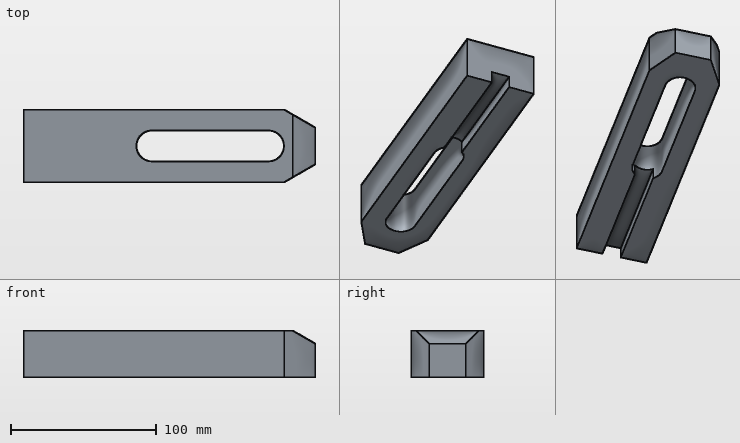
import cadquery as cq
import math

length = 200.0
width = 50.0
height = 32.0

nose_angle = math.radians(30)
taper_length = 21.5
bevel_length = 15.5
taper_depth = taper_length * math.tan(nose_angle)
bevel_depth = bevel_length * math.tan(nose_angle)

slot_width = 21.0
slot_start = 77.5
slot_end = 178.5

groove_width = 13.0
groove_depth = 9.0


def make_body():
    """Bar with both nose sides tapered towards the tip."""
    taper_start = length - taper_length
    tip_half_width = width / 2 - taper_depth
    return (
        cq.Workplane("XY")
        .moveTo(0, -width / 2)
        .lineTo(taper_start, -width / 2)
        .lineTo(length, -tip_half_width)
        .lineTo(length, tip_half_width)
        .lineTo(taper_start, width / 2)
        .lineTo(0, width / 2)
        .close()
        .extrude(height)
    )


def make_top_bevel():
    """Wedge removed from the top edge of the nose."""
    return (
        cq.Workplane("XZ")
        .moveTo(length - bevel_length, height)
        .lineTo(length, height)
        .lineTo(length, height - bevel_depth)
        .close()
        .extrude(width / 2, both=True)
    )


def make_slot():
    """Round-ended slot through the full height."""
    return (
        cq.Workplane("XY")
        .center((slot_start + slot_end) / 2, 0)
        .slot2D(slot_end - slot_start, slot_width)
        .extrude(height)
    )


def make_groove():
    """Square groove that opens into the middle of the slot."""
    groove_length = (slot_start + slot_end) / 2
    return cq.Workplane("XY").box(
        groove_length, groove_width, groove_depth, centered=(False, True, False)
    )


result = make_body().cut(make_top_bevel()).cut(make_slot()).cut(make_groove())